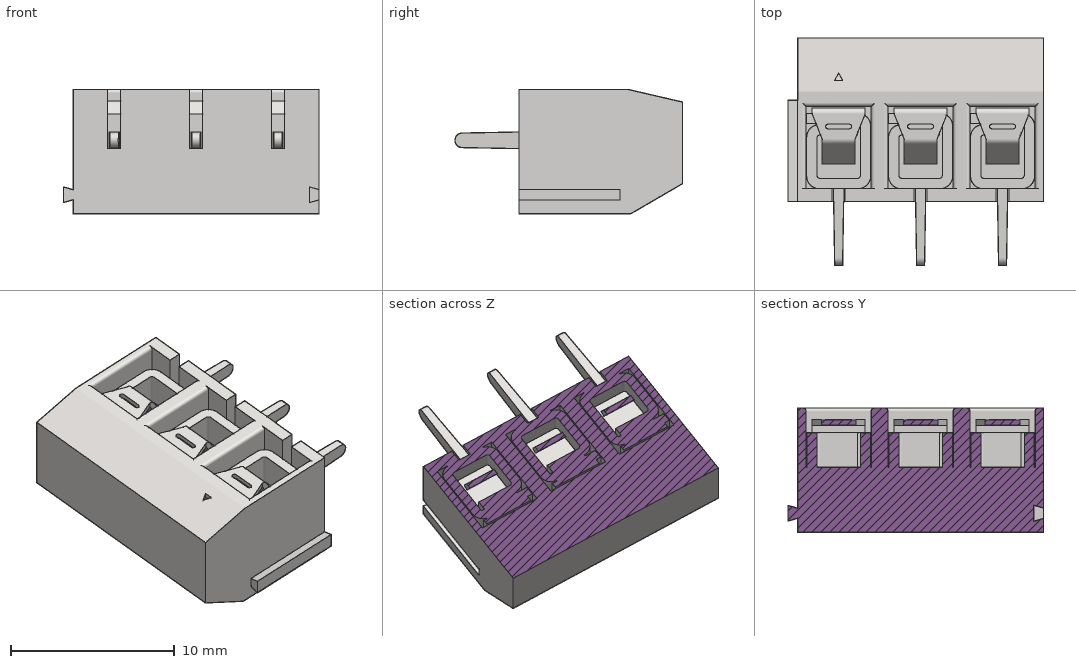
import cadquery as cq
import math


total_width = 15.6
rail_depth = 0.6
body_width = total_width - rail_depth
body_depth = 10.0
body_height = 7.6
body_left = rail_depth
top_slope_start = 6.71
bottom_slope_start = 6.83
back_top = 6.83
back_bottom = 1.84

pole_count = 3
pole_pitch = body_width / pole_count
front_wall = 0.8
pocket_floor = 3.98
rim_radius = 0.22
pocket_width = 3.96
pocket_back = 5.8
slot_width = 0.8

dovetail_length = 6.2
dovetail_center = 1.17
dovetail_wide = 0.97
dovetail_narrow = 0.62

cage_width = 3.9
cage_top = 6.08
strip = 0.62
cage_outer_radius = 0.75
cage_inner_radius = 0.19
loop_back = 4.7
overlap_seam = 0.06
overlap_back = loop_back + overlap_seam + strip
inner_end_gap = 0.19

clip_top = 6.88
clip_back = 5.73
clip_thickness = 0.35
clip_bend_radius = 0.37
clip_bend_y = 3.6
clip_tip_y = 2.3
blade_angle = math.radians(60)
clip_wide = 3.23
clip_narrow = 2.01
clip_taper_start = clip_back - clip_bend_radius
clip_slot_length = 1.59
clip_slot_width = 0.28
clip_slot_y = 4.59

pin_length = 3.9
pin_root_height = 1.03
pin_axis_z = pocket_floor + pin_root_height / 2
pin_root_width = 0.62
pin_tip_height = 0.9
pin_tip_width = 0.5

mark_width = 0.5
mark_length = 0.45
mark_base_y = 7.4
mark_depth = 0.31


def pole_center(index):
    """X of the middle of a pole, counted from the left."""
    return body_left + (index + 0.5) * pole_pitch


def box(x0, x1, y0, y1, z0, z1):
    """Block between two limits along each axis."""
    return cq.Workplane("XY").box(x1 - x0, y1 - y0, z1 - z0, centered=False).translate((x0, y0, z0))


def make_housing():
    """Block with its back sloped at the top and at the bottom."""
    profile = [
        (0, 0),
        (bottom_slope_start, 0),
        (body_depth, back_bottom),
        (body_depth, back_top),
        (top_slope_start, body_height),
        (0, body_height),
    ]
    return cq.Workplane("YZ").polyline(profile).close().extrude(body_width).translate((body_left, 0, 0))


def dovetail(wide_x):
    """Dovetail bar along Y, widest at wide_x and narrowing toward +X."""
    narrow_x = wide_x + rail_depth
    section = [
        (wide_x, dovetail_center - dovetail_wide / 2),
        (narrow_x, dovetail_center - dovetail_narrow / 2),
        (narrow_x, dovetail_center + dovetail_narrow / 2),
        (wide_x, dovetail_center + dovetail_wide / 2),
    ]
    return cq.Workplane("XZ").polyline(section).close().extrude(-dovetail_length)


def cut_pocket(housing, x):
    """Sink the pocket, round its rim at the back and both sides, and slot the front wall."""
    half = pocket_width / 2
    cavity = box(x - half, x + half, front_wall, pocket_back, pocket_floor, body_height)
    housing = housing.cut(cavity)
    reach = rim_radius / 2
    rim_edges = cq.selectors.BoxSelector(
        (x - half - reach, front_wall + reach, body_height - reach),
        (x + half + reach, pocket_back + reach, body_height + reach),
    )
    housing = housing.edges(rim_edges).fillet(rim_radius)
    slot = box(x - slot_width / 2, x + slot_width / 2, 0, front_wall, pocket_floor, body_height)
    return housing.cut(slot)


def pin_one_mark(housing):
    """Triangle over the first pole, sunk to a floor parallel to the sloped face."""
    x = pole_center(0)
    corners = [
        (x - mark_width / 2, mark_base_y),
        (x + mark_width / 2, mark_base_y),
        (x, mark_base_y + mark_length),
    ]
    prism = cq.Workplane("XY").polyline(corners).close().extrude(body_height)
    return prism.cut(housing.translate((0, 0, -mark_depth)))


def make_cage(x):
    """Strip loop standing on the pocket floor, with its two ends overlapping along the back."""
    left = x - cage_width / 2
    right = x + cage_width / 2
    height = cage_top - pocket_floor
    loop = box(left, right, front_wall, overlap_back, pocket_floor, cage_top)
    loop = loop.edges("|Z and (<Y or >X)").fillet(cage_outer_radius)
    window = box(left + strip, right - strip, front_wall + strip, loop_back - strip, pocket_floor, cage_top)
    window = window.edges("|Z and (not (>X and >Y))").fillet(cage_inner_radius)
    end_gap = box(
        right - strip - inner_end_gap, right - strip, loop_back - strip, loop_back, pocket_floor, cage_top
    )
    corner_x = left + cage_outer_radius
    corner_y = loop_back - cage_outer_radius
    corner = box(left, corner_x, corner_y, loop_back + overlap_seam, pocket_floor, cage_top)
    rounding = (
        cq.Workplane("XY", origin=(corner_x, corner_y, pocket_floor))
        .circle(cage_outer_radius)
        .extrude(height)
    )
    return loop.cut(window).cut(end_gap).cut(corner.cut(rounding))


def make_clip(x):
    """Leg rising along the back wall, tapered tongue, then a steep blade ending above the floor."""
    under = clip_top - clip_thickness
    tip_z = clip_top - (clip_bend_y - clip_tip_y) * math.tan(blade_angle)
    inner_bend_y = clip_bend_y + clip_thickness * math.tan(blade_angle / 2)
    inner_tip_y = clip_tip_y + clip_thickness * math.sin(blade_angle)
    inner_tip_z = tip_z - clip_thickness * math.cos(blade_angle)
    profile = [
        (clip_back, pocket_floor),
        (clip_back, clip_top),
        (clip_bend_y, clip_top),
        (clip_tip_y, tip_z),
        (inner_tip_y, inner_tip_z),
        (inner_bend_y, under),
        (clip_back - clip_thickness, under),
        (clip_back - clip_thickness, pocket_floor),
    ]
    strip_body = cq.Workplane("YZ").polyline(profile).close().extrude(clip_wide / 2, both=True)
    strip_body = strip_body.edges("|X and >Z").fillet(clip_bend_radius)
    taper_end = clip_bend_y + clip_bend_radius * math.tan(blade_angle / 2)
    outline = [
        (-clip_wide / 2, clip_back),
        (-clip_wide / 2, clip_taper_start),
        (-clip_narrow / 2, taper_end),
        (-clip_narrow / 2, clip_tip_y),
        (clip_narrow / 2, clip_tip_y),
        (clip_narrow / 2, taper_end),
        (clip_wide / 2, clip_taper_start),
        (clip_wide / 2, clip_back),
    ]
    clip = strip_body.intersect(cq.Workplane("XY").polyline(outline).close().extrude(body_height))
    slot = (
        cq.Workplane("XY", origin=(0, clip_slot_y, under))
        .slot2D(clip_slot_length, clip_slot_width)
        .extrude(clip_thickness)
    )
    return clip.cut(slot).translate((x, 0, 0))


def make_pin(x):
    """Pin straight through the front wall, tapering in front of it to a round tip."""
    tip_radius = pin_tip_height / 2
    tip_y = tip_radius - pin_length
    side = (
        cq.Workplane("YZ")
        .moveTo(front_wall, pin_axis_z - pin_root_height / 2)
        .lineTo(0, pin_axis_z - pin_root_height / 2)
        .lineTo(tip_y, pin_axis_z - tip_radius)
        .threePointArc((-pin_length, pin_axis_z), (tip_y, pin_axis_z + tip_radius))
        .lineTo(0, pin_axis_z + pin_root_height / 2)
        .lineTo(front_wall, pin_axis_z + pin_root_height / 2)
        .close()
        .extrude(pin_root_width / 2, both=True)
    )
    plan = [
        (-pin_root_width / 2, front_wall),
        (-pin_root_width / 2, 0),
        (-pin_tip_width / 2, -pin_length),
        (pin_tip_width / 2, -pin_length),
        (pin_root_width / 2, 0),
        (pin_root_width / 2, front_wall),
    ]
    pin = side.intersect(cq.Workplane("XY").polyline(plan).close().extrude(body_height))
    return pin.translate((x, 0, 0))


housing = make_housing()
mark = pin_one_mark(housing)
housing = housing.cut(mark).union(dovetail(0)).cut(dovetail(body_width))
for index in range(pole_count):
    housing = cut_pocket(housing, pole_center(index))

result = housing
for index in range(pole_count):
    center = pole_center(index)
    result = result.union(make_cage(center)).union(make_clip(center)).union(make_pin(center))